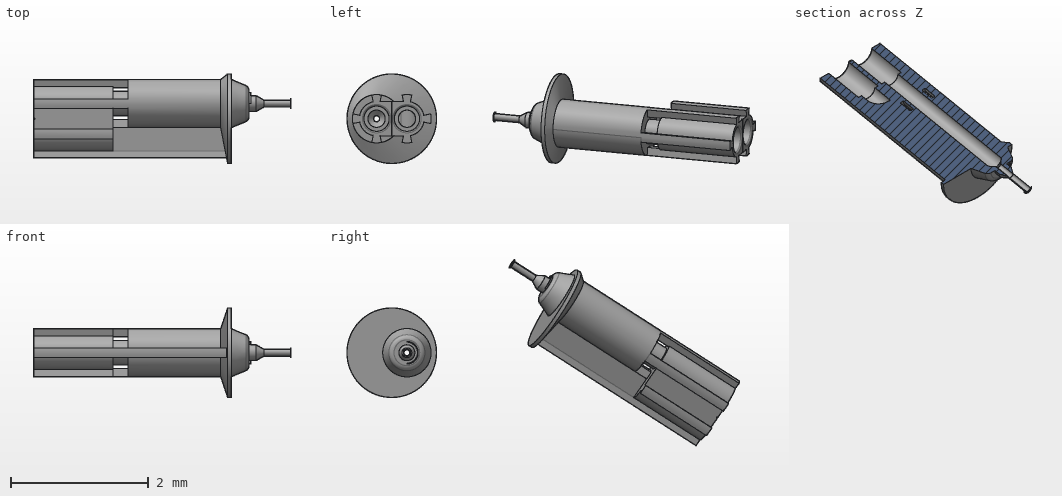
import cadquery as cq
import math

total_length = 3.73
axis_offset = 0.22
barrel_axis = axis_offset
side_axis = -axis_offset

socket_depth = 0.668
tube_end = 1.153
barrel_start = 1.365
dish_start = 2.71
flange_start = 2.812
flange_end = 2.87
bell_shoulder = 3.08
bell_end = 3.125
collar_end = 3.148
neck_end = 3.225
pin_start = 3.34
pin_lip_thickness = 0.007

barrel_radius = 0.35
tube_radius = 0.25
rib_inner_radius = 0.465 / 2
core_radius = 0.358 / 2
socket_radius = 0.365 / 2
mouth_fillet = 0.022
bore_radius = 0.25 / 2
flange_radius = 1.3 / 2
bell_shoulder_radius = 0.26
bell_end_radius = 0.185
bell_bulge = 0.007
collar_radius = 0.165
collar_wall = 0.01
neck_radius = 0.23 / 2
pin_radius = 0.052
pin_lip_radius = 0.07
pin_hole_radius = 0.04

rib_half_angle = 11.5
cone_start = 2.985
side_bore_end = 1.007
groove_width = 0.01
groove_depth = 0.02


def rod(axis_y, radius, start, end):
    """Solid cylinder along X."""
    return cq.Workplane("YZ", origin=(start, axis_y, 0)).circle(radius).extrude(end - start)


def box(start, end, y_min, y_max, half_height):
    """Block spanning the given X and Y ranges, centred on Z = 0."""
    size = (end - start, y_max - y_min, 2 * half_height)
    return cq.Workplane("XY").box(*size, centered=(False, False, True)).translate((start, y_min, 0))


def turned(axis_y, profile):
    """Revolve an (x, radius) profile about a line along X at the given Y."""
    axis_start = (0, 0, 0)
    axis_end = (1, 0, 0)
    return profile.close().revolve(360, axis_start, axis_end).translate((0, axis_y, 0))


def rib(axis_y, direction, start, end):
    """Radial-sided rib; direction is its angle from +Y towards +Z."""
    def at(radius, angle):
        angle = math.radians(angle)
        return (radius * math.cos(angle), radius * math.sin(angle))

    low = direction - rib_half_angle
    high = direction + rib_half_angle
    return (
        cq.Workplane("YZ", origin=(start, axis_y, 0))
        .moveTo(*at(rib_inner_radius, low))
        .lineTo(*at(barrel_radius, low))
        .threePointArc(at(barrel_radius, direction), at(barrel_radius, high))
        .lineTo(*at(rib_inner_radius, high))
        .threePointArc(at(rib_inner_radius, direction), at(rib_inner_radius, low))
        .close()
        .extrude(end - start)
    )


def socket(axis_y):
    """Round socket with a rounded mouth at the X = 0 end."""
    mouth_radius = socket_radius + mouth_fillet
    bend = mouth_fillet * (1 - math.sqrt(0.5))
    profile = (
        cq.Workplane("XY")
        .lineTo(0, mouth_radius)
        .threePointArc((bend, socket_radius + bend), (mouth_fillet, socket_radius))
        .lineTo(socket_depth, socket_radius)
        .lineTo(socket_depth, 0)
    )
    return turned(axis_y, profile)


body = box(0, tube_end, side_axis, barrel_axis, tube_radius)
for tube_axis in (barrel_axis, side_axis):
    body = body.union(rod(tube_axis, tube_radius, 0, tube_end))

body = body.union(rod(barrel_axis, core_radius, tube_end, barrel_start))
body = body.union(rod(barrel_axis, barrel_radius, barrel_start, dish_start))

up, down, plus_y, minus_y = 90, 270, 0, 180
for direction in (up, down, plus_y):
    body = body.union(rib(barrel_axis, direction, 0, barrel_start))
body = body.union(rib(barrel_axis, minus_y, tube_end, barrel_start))
for direction in (up, down):
    body = body.union(rib(side_axis, direction, 0, tube_end))
body = body.union(rib(side_axis, minus_y, 0, flange_start))

plate_half_thickness = tube_radius * math.sin(math.radians(rib_half_angle))
plate_outer_y = side_axis - tube_radius * math.cos(math.radians(rib_half_angle))
plate_inner_y = barrel_axis - barrel_radius * math.cos(math.radians(rib_half_angle))
body = body.union(box(tube_end, flange_start, plate_outer_y, plate_inner_y, plate_half_thickness))

dish = (
    cq.Workplane("YZ", origin=(dish_start, 0, 0))
    .center(barrel_axis, 0)
    .circle(barrel_radius)
    .workplane(offset=flange_start - dish_start)
    .center(-barrel_axis, 0)
    .circle(flange_radius)
    .loft(ruled=True)
)
body = body.union(dish).union(rod(0, flange_radius, flange_start, flange_end))

bulge_point = (
    (bell_shoulder + bell_end) / 2 + bell_bulge,
    (bell_shoulder_radius + bell_end_radius) / 2 + bell_bulge,
)
tail_profile = (
    cq.Workplane("XY")
    .moveTo(flange_end, 0)
    .lineTo(flange_end, barrel_radius)
    .lineTo(bell_shoulder, bell_shoulder_radius)
    .threePointArc(bulge_point, (bell_end, bell_end_radius))
    .lineTo(bell_end, neck_radius)
    .lineTo(neck_end, neck_radius)
    .lineTo(pin_start, pin_radius)
    .lineTo(total_length - pin_lip_thickness, pin_radius)
    .lineTo(total_length - pin_lip_thickness, pin_lip_radius)
    .lineTo(total_length, pin_lip_radius)
    .lineTo(total_length, 0)
)
body = body.union(turned(barrel_axis, tail_profile))

collar = rod(barrel_axis, collar_radius, bell_end, collar_end)
collar = collar.cut(rod(barrel_axis, collar_radius - collar_wall, bell_end, collar_end))
collar_half = box(bell_end, collar_end, barrel_axis, barrel_axis + collar_radius, collar_radius)
body = body.union(collar.intersect(collar_half))

for tube_axis in (barrel_axis, side_axis):
    body = body.cut(socket(tube_axis))

cone_end = cone_start + bore_radius - pin_hole_radius
bore_profile = (
    cq.Workplane("XY")
    .moveTo(socket_depth, 0)
    .lineTo(socket_depth, bore_radius)
    .lineTo(cone_start, bore_radius)
    .lineTo(cone_end, pin_hole_radius)
    .lineTo(total_length, pin_hole_radius)
    .lineTo(total_length, 0)
)
body = body.cut(turned(barrel_axis, bore_profile))

floor_edge_y = barrel_axis - barrel_radius
wall_y = side_axis - bore_radius
floor_radius = floor_edge_y - wall_y
curve_start = side_bore_end - floor_radius
curve_middle = (
    curve_start + floor_radius * math.sqrt(0.5),
    floor_edge_y - floor_radius * math.sqrt(0.5),
)
bore_limit = (
    cq.Workplane("XY", origin=(0, 0, -bore_radius))
    .moveTo(socket_depth, 0)
    .lineTo(side_bore_end, 0)
    .lineTo(side_bore_end, floor_edge_y)
    .threePointArc(curve_middle, (curve_start, wall_y))
    .lineTo(socket_depth, wall_y)
    .close()
    .extrude(2 * bore_radius)
)
body = body.cut(rod(side_axis, bore_radius, socket_depth, side_bore_end).intersect(bore_limit))

groove = box(0, groove_depth, -groove_width / 2, groove_width / 2, tube_radius)
result = body.cut(groove)